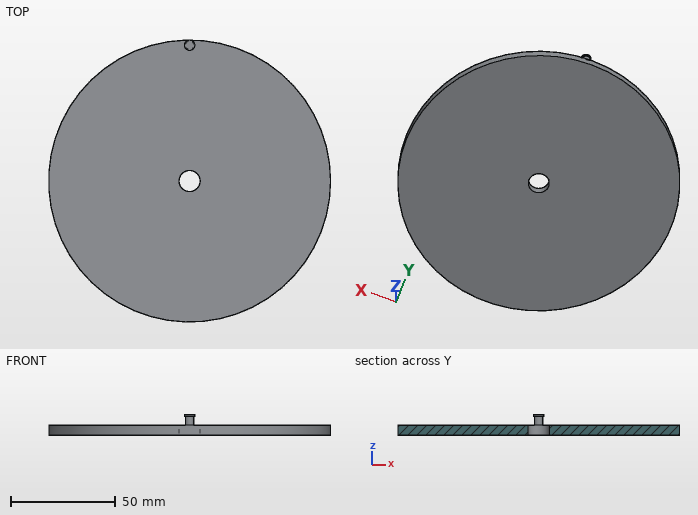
import cadquery as cq

disc_diameter = 135.0
disc_thickness = 5.0
bore_diameter = 10.0

pin_height = 5.0
shank_diameter = 4.0
head_diameter = 5.0
head_thickness = 1.0
pin_y = (disc_diameter - head_diameter) / 2


def make_disc():
    """Flat disc resting on Z = 0 with a through bore."""
    return (
        cq.Workplane("XY")
        .circle(disc_diameter / 2)
        .circle(bore_diameter / 2)
        .extrude(disc_thickness)
    )


def make_pin():
    """Cylindrical shank topped by a wider flat head."""
    base = cq.Workplane("XY", origin=(0, pin_y, disc_thickness))
    shank = base.circle(shank_diameter / 2).extrude(pin_height)
    head = (
        base.workplane(offset=pin_height - head_thickness)
        .circle(head_diameter / 2)
        .extrude(head_thickness)
    )
    return shank.union(head)


result = make_disc().union(make_pin())